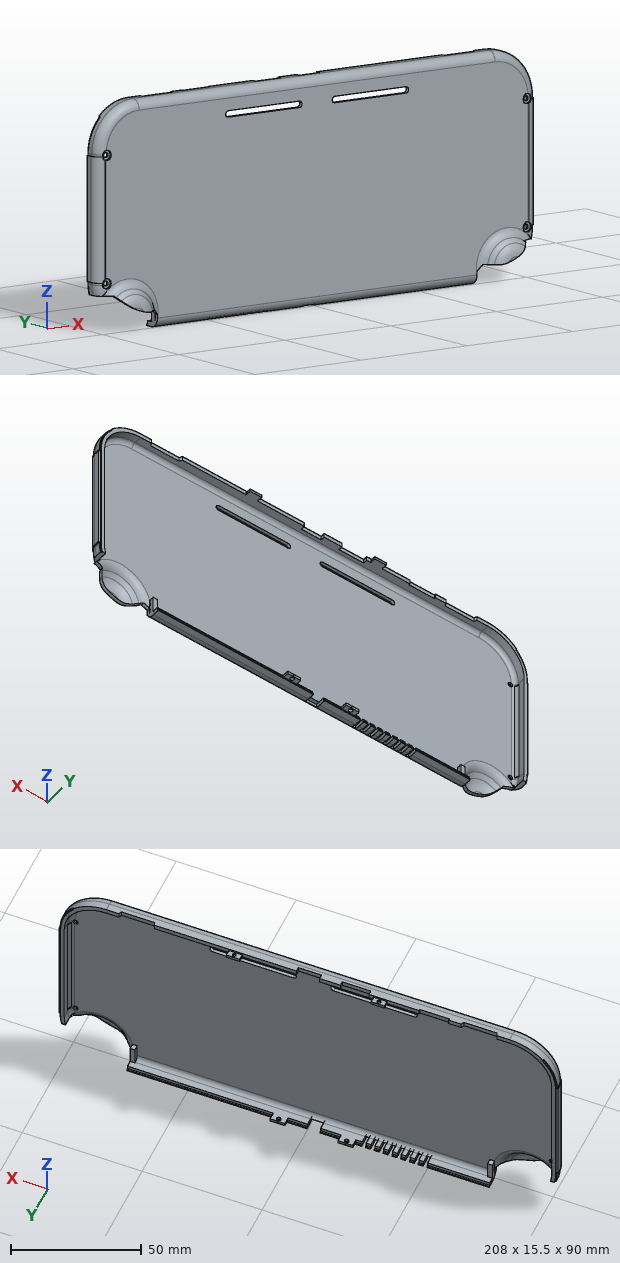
import cadquery as cq
import math


total_width = 208.0
pad_step = 0.5
body_width = total_width - 2 * pad_step
half_width = body_width / 2
height = 90.0
depth = 7.0
corner_radius = 19.5
edge_radius = 4.0
plate_thickness = 1.55
wall_thickness = 2.0
inner_edge_radius = edge_radius - wall_thickness

side_end_z = 15.2
notch_arc_x = 97.1
notch_arc_mid_x = 90.5
notch_arc_mid_z = 10.2
notch_floor_x = 83.2
notch_floor_z = 8.0
notch_chamfer_x = 77.5
bottom_half_width = 75.5
notch_chamfer_z = 5.5

dome_x = 89.6
dome_z = 6.2
dome_height = 6.0
dome_base_radius = 14.5
flare_mid_radius = 12.5
flare_mid_height = 0.8
cone_base_radius = 11.0
cone_base_height = 2.5
cone_top_radius = 9.2
cone_top_height = 4.2
dome_root = 0.6

ledge_depth = 0.6
ledge_lip = 0.6

pad_bottom_z = 20.4
pad_top_z = height - pad_bottom_z

rebate_depth = 0.6
rebate_width = 0.5
rebate_start_x = half_width - 5.6

screw_x = 99.2
screw_zs = (20.0, height - 20.0)
screw_diameter = 2.0
screw_head_diameter = 4.0
screw_head_depth = 0.8

vent_x = 25.2
vent_z = 79.9
vent_length = 36.0
vent_width = 2.5

top_notches = ((-58.7, -46.4, 0.6), (-25.4, -13.5, 1.9), (-4.8, 4.8, 1.9))
trigger_notch_inner_x = 63.9
trigger_notch_outer_x = 78.8
trigger_notch_depth = 1.2
trigger_notch_slope = 0.6

bottom_slot_depth = 5.2
speaker_slot_count = 8
speaker_slot_pitch = 3.66
speaker_slot_width = 1.6
speaker_x = -36.0
port_left_x = -5.0
port_right_x = 0.5

tab_height = 2.5
tab_thickness = 1.2
tab_overlap = 1.0
top_tab_width = 5.6
top_tab_xs = (-30.2, 30.2)
top_tab_hole = 1.4
top_tab_hole_depth = 0.6
bottom_tab_width = 6.2
bottom_tab_xs = (-16.6, 11.6)
bottom_tab_hole = 1.7

rib_height = 2.3
rib_bottom_z = wall_thickness
rib_top_z = 9.5


def box(x0, x1, y0, y1, z0, z1):
    """Box between two corners."""
    return cq.Workplane("XY").box(x1 - x0, y1 - y0, z1 - z0, centered=False).translate((x0, y0, z0))


def both_sides(solid):
    """A solid together with its mirror image across X = 0."""
    return solid.union(solid.mirror("YZ"))


def tray_block(inset, y_start, y_end):
    """Slab with round corners, inset on all sides from the tray outline."""
    half = half_width - inset
    slab = box(-half, half, y_start, y_end, inset, height - inset)
    return slab.edges("|Y").fillet(corner_radius - inset)


def make_tray():
    outer = tray_block(0, 0, depth).faces("<Y").edges().fillet(edge_radius)
    inner = tray_block(wall_thickness, plate_thickness, depth)
    return outer.cut(inner.faces("<Y").edges().fillet(inner_edge_radius))


def make_pads():
    """Thin pads that blend into the flat face along the edge rounding."""
    center_x = total_width / 2 - edge_radius
    diagonal = edge_radius * math.sqrt(0.5)
    pad = (
        cq.Workplane("XY")
        .workplane(offset=pad_bottom_z)
        .moveTo(center_x, 0)
        .threePointArc((center_x + diagonal, edge_radius - diagonal), (total_width / 2, edge_radius))
        .lineTo(total_width / 2, depth - rebate_depth)
        .lineTo(half_width - wall_thickness, depth - rebate_depth)
        .lineTo(half_width - wall_thickness, edge_radius)
        .close()
        .extrude(pad_top_z - pad_bottom_z)
    )
    return both_sides(pad)


def make_rim_rebate():
    """Shallow step around the outside of the rim, on the sides only."""
    rebate_y = depth - rebate_depth
    ring = tray_block(0, rebate_y, depth).cut(tray_block(rebate_width, rebate_y, depth))
    return ring.cut(box(-rebate_start_x, rebate_start_x, rebate_y, depth, 0, height))


def make_corner_cutters():
    """Regions removed below the sides, with the curved lower edge of the grips."""
    cutter = (
        cq.Workplane("XZ", origin=(0, 2 * depth, 0))
        .moveTo(bottom_half_width, 0)
        .lineTo(bottom_half_width, notch_chamfer_z)
        .lineTo(notch_chamfer_x, notch_floor_z)
        .lineTo(notch_floor_x, notch_floor_z)
        .threePointArc((notch_arc_mid_x, notch_arc_mid_z), (notch_arc_x, side_end_z))
        .lineTo(total_width, side_end_z)
        .lineTo(total_width, -height)
        .lineTo(bottom_half_width, -height)
        .close()
        .extrude(4 * depth)
    )
    return both_sides(cutter)


def make_dome(base_y):
    """Dome pointing toward -Y with a flared foot at base_y, a conical flank and a flat crown."""
    cone_slope = math.atan2(cone_top_height - cone_base_height, cone_base_radius - cone_top_radius)
    crown_blend = (dome_height - cone_top_height) / math.tan(cone_slope / 2)
    dome = (
        cq.Workplane("XY")
        .moveTo(0, dome_root)
        .lineTo(dome_base_radius, dome_root)
        .lineTo(dome_base_radius, 0)
        .threePointArc((flare_mid_radius, -flare_mid_height), (cone_base_radius, -cone_base_height))
        .lineTo(cone_top_radius, -cone_top_height)
        .tangentArcPoint((cone_top_radius - crown_blend, -dome_height), relative=False)
        .lineTo(0, -dome_height)
        .close()
        .revolve(360, (0, 0, 0), (0, 1, 0))
    )
    return both_sides(dome.translate((dome_x, base_y, dome_z)))


def make_screw_holes():
    centers = [(x, z) for x in (-screw_x, screw_x) for z in screw_zs]
    plane = cq.Workplane("XZ").pushPoints(centers)
    shafts = plane.circle(screw_diameter / 2).extrude(-depth)
    heads = plane.circle(screw_head_diameter / 2).extrude(-screw_head_depth)
    return shafts.union(heads)


def make_vents():
    centers = [(-vent_x, vent_z), (vent_x, vent_z)]
    return cq.Workplane("XZ").pushPoints(centers).slot2D(vent_length, vent_width).extrude(-depth)


def make_top_notches():
    wall_z = height - wall_thickness
    trigger = (
        cq.Workplane("XY")
        .workplane(offset=wall_z)
        .moveTo(trigger_notch_inner_x, depth)
        .lineTo(trigger_notch_inner_x + trigger_notch_slope, depth - trigger_notch_depth)
        .lineTo(trigger_notch_outer_x - trigger_notch_slope, depth - trigger_notch_depth)
        .lineTo(trigger_notch_outer_x, depth)
        .close()
        .extrude(wall_thickness)
    )
    notches = both_sides(trigger)
    for left, right, notch_depth in top_notches:
        notches = notches.union(box(left, right, depth - notch_depth, depth, wall_z, height))
    return notches


def make_bottom_openings():
    """Port opening and comb of speaker slots, all open at the rim."""
    slot_y = depth - bottom_slot_depth
    openings = box(port_left_x, port_right_x, slot_y, depth, 0, wall_thickness)
    for i in range(speaker_slot_count):
        x = speaker_x + (i - (speaker_slot_count - 1) / 2) * speaker_slot_pitch
        half = speaker_slot_width / 2
        openings = openings.union(box(x - half, x + half, slot_y, depth, 0, wall_thickness))
    return openings


def make_bottom_ledge():
    """Step that leaves only a thin outer lip at full height on the bottom rim."""
    return box(-half_width, half_width, depth - ledge_depth, depth, ledge_lip, wall_thickness)


def make_tab(x, z, width, hole_diameter, hole_depth):
    """Tab on the rim, its lower face at z, with a vertical hole sunk from its upper face."""
    tab_top = depth + tab_height
    tab = box(x - width / 2, x + width / 2, depth - tab_overlap, tab_top, z, z + tab_thickness)
    hole = cq.Workplane("XY").circle(hole_diameter / 2).extrude(-hole_depth)
    return tab.cut(hole.translate((x, depth + tab_height / 2, z + tab_thickness)))


def make_ribs():
    inner_x = bottom_half_width - wall_thickness
    rib_end_y = plate_thickness + rib_height
    return both_sides(
        box(inner_x, bottom_half_width, plate_thickness, rib_end_y, rib_bottom_z, rib_top_z)
    )


result = make_tray().cut(make_rim_rebate()).union(make_pads())
result = result.union(make_dome(0)).cut(make_dome(plate_thickness))
result = result.union(make_ribs()).cut(make_corner_cutters())
result = result.cut(make_screw_holes()).cut(make_vents())
result = result.cut(make_top_notches()).cut(make_bottom_openings())
result = result.cut(make_bottom_ledge())

top_tab_z = height - wall_thickness
for tab_x in top_tab_xs:
    result = result.union(make_tab(tab_x, top_tab_z, top_tab_width, top_tab_hole, top_tab_hole_depth))

bottom_tab_z = wall_thickness - tab_thickness
for tab_x in bottom_tab_xs:
    result = result.union(make_tab(tab_x, bottom_tab_z, bottom_tab_width, bottom_tab_hole, tab_thickness))